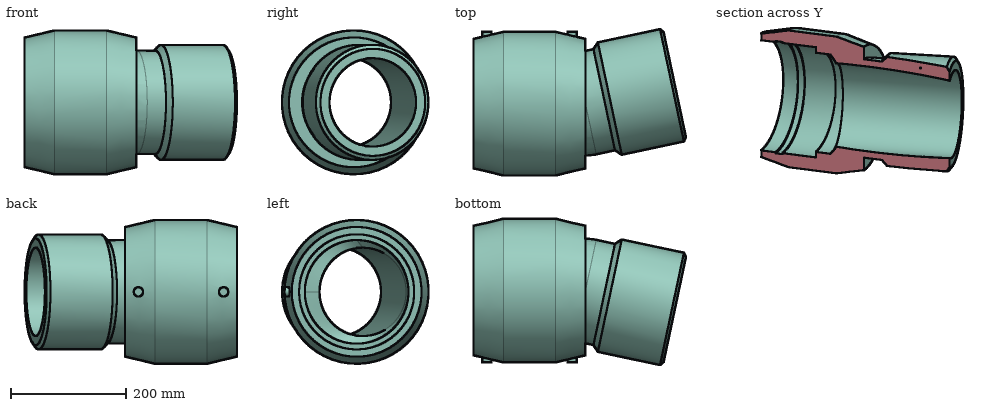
import cadquery as cq
import math

sleeve_length = 194.5
barrel_diameter = 250.0
sleeve_end_diameter = 225.5
taper_length = 52.0

socket_diameter = 200.0
socket_depth = 103.3
throat_diameter = 180.0
throat_end = 130.5
groove_start = 27.5
groove_width = 12.5
groove_depth = 2.0

bend_angle = 12.0
spigot_length = 158.5
spigot_diameter = socket_diameter
spigot_bore = 153.5
neck_diameter = throat_diameter
shoulder_start = 33.2
shoulder_length = (spigot_diameter - neck_diameter) / 2
tip_chamfer_length = 5.0
tip_chamfer_depth = 7.0
bore_setback = 51.5

terminal_diameter = 16.2
terminal_inset = 23.2
terminal_root = 107.0

bend_direction = cq.Vector(
    math.cos(math.radians(bend_angle)), math.sin(math.radians(bend_angle)), 0
)
bend_point = cq.Vector(sleeve_length, 0, 0)


def disc(diameter, start, length):
    """Cylinder along X."""
    return cq.Workplane("YZ", origin=(start, 0, 0)).circle(diameter / 2).extrude(length)


def revolve_about_x(points):
    return cq.Workplane("XY").polyline(points).close().revolve(360, (0, 0, 0), (1, 0, 0))


def make_sleeve():
    end_radius = sleeve_end_diameter / 2
    barrel_radius = barrel_diameter / 2
    return revolve_about_x([
        (0, 0),
        (0, end_radius),
        (taper_length, barrel_radius),
        (sleeve_length - taper_length, barrel_radius),
        (sleeve_length, end_radius),
        (sleeve_length, 0),
    ])


def make_spigot():
    """Spigot with its neck, shoulder and chamfered tip, closed by a ball at the bend."""
    neck_radius = neck_diameter / 2
    radius = spigot_diameter / 2
    straight = revolve_about_x([
        (0, 0),
        (0, neck_radius),
        (shoulder_start, neck_radius),
        (shoulder_start + shoulder_length, radius),
        (spigot_length - tip_chamfer_length, radius),
        (spigot_length, radius - tip_chamfer_depth),
        (spigot_length, 0),
    ])
    turned = straight.rotate((0, 0, 0), (0, 0, 1), bend_angle)
    ball = cq.Workplane("XY").sphere(neck_radius)
    return turned.union(ball).translate(bend_point)


def make_terminal(x):
    height = barrel_diameter / 2 - terminal_root
    base = cq.Workplane("XZ", origin=(x, terminal_root, 0))
    return base.circle(terminal_diameter / 2).extrude(-height)


def make_cavity():
    """Socket, groove and throat, then a lead-in to the turned spigot bore."""
    socket = disc(socket_diameter, 0, socket_depth)
    groove = disc(socket_diameter + 2 * groove_depth, groove_start, groove_width)
    throat = disc(throat_diameter, socket_depth, throat_end - socket_depth)

    bore_start = bend_point - bend_direction * bore_setback
    bore_length = bore_setback + spigot_length
    bore = cq.Workplane(
        cq.Solid.makeCylinder(spigot_bore / 2, bore_length, bore_start, bend_direction)
    )
    throat_rim = cq.Wire.makeCircle(throat_diameter / 2, cq.Vector(throat_end, 0, 0), cq.Vector(1, 0, 0))
    bore_rim = cq.Wire.makeCircle(spigot_bore / 2, bore_start, bend_direction)
    lead_in = cq.Workplane(cq.Solid.makeLoft([throat_rim, bore_rim], True))
    return socket.union(groove).union(throat).union(lead_in).union(bore)


body = make_sleeve().union(make_spigot())
for terminal_x in (terminal_inset, sleeve_length - terminal_inset):
    body = body.union(make_terminal(terminal_x))

result = body.cut(make_cavity())